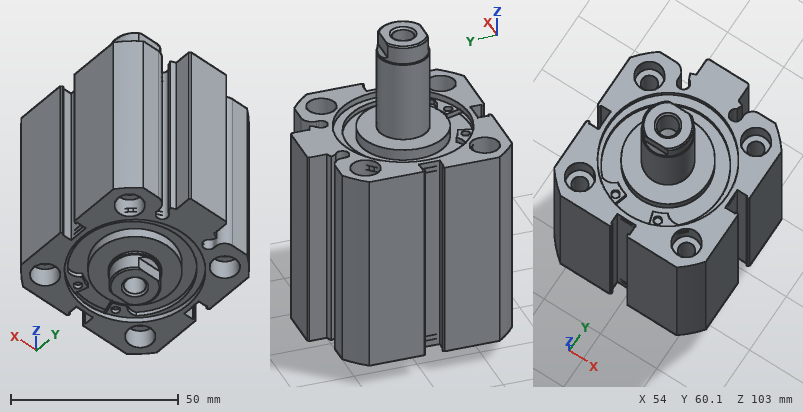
import cadquery as cq
import math

half_width = 27.0
corner_radius = 34.0
rod_length = 103.0
rod_overhang_top = 32.0
rod_overhang_bottom = 7.0
housing_height = rod_length - rod_overhang_top - rod_overhang_bottom

block_half_width = 7.5
block_top = 33.1
block_edge_chamfer = 0.5
groove_x = 9.3
groove_y = 22.7
groove_width = 4.0
groove_radius = groove_width / 2
groove_lip_radius = 3.5
hook_tip = (9.3, 26.3)
hook_root_x = 8.5

slot_width = 6.6
slot_depth = 4.4
slot_opening = 5.6
lip_thickness = 1.0
lip_chamfer = 0.4

mount_pitch = 37.9
mount_hole_diameter = 5.2
counterbore_diameter = 9.1
counterbore_depth = 7.2

bore_radius = 21.0
ring_seat_radius = 22.4
ring_depth = 2.0
ring_thickness = 1.5

ring_inner_radius = 19.3
ring_inner_offset = 1.2
lug_radius = 16.3
gap_half_angle = 17.0
lug_end_angle = 33.1
lug_neck_middle = (11.3, -15.0)
lug_neck_end_angle = 45.0
lug_hole_diameter = 2.6
lug_hole_x = 7.5
lug_hole_y = -17.1

collar_radius = 14.0
cover_recess = ring_depth + ring_thickness
cover_length = 10.3

rod_diameter = 16.0
rod_radius = rod_diameter / 2
rod_end_radius = 7.7
rod_end_length = 5.9
rod_chamfer_width = 0.5
rod_chamfer_length = 0.4
flat_distance = 6.5
flat_length = 4.5
thread_diameter = 6.7
thread_radius = thread_diameter / 2
thread_mouth_radius = 4.0
thread_depth = 13.0
drill_point_angle = 118.0


def below_axis(radius, angle):
    """Point at an angle in degrees from -Y towards +X."""
    turn = math.radians(angle)
    return radius * math.sin(turn), -radius * math.cos(turn)


def mirrored_x(point):
    return -point[0], point[1]


def mirrored_z(shape):
    """The same shape at the other end of the housing."""
    return shape.mirror("XY", (0, 0, housing_height / 2))


def make_block_groove():
    """Cutter for the hooked groove on the +X side of the port block."""
    hook_root_y = groove_y + math.sqrt(groove_radius**2 - (groove_x - hook_root_x) ** 2)
    wall_x = groove_x + groove_radius
    lip_y = half_width - groove_lip_radius
    lip_end_x = wall_x + groove_lip_radius
    diagonal = math.sqrt(0.5)
    lip_middle = (lip_end_x - groove_lip_radius * diagonal, lip_y + groove_lip_radius * diagonal)
    return (
        cq.Workplane("XY")
        .moveTo(block_half_width, half_width)
        .lineTo(*hook_tip)
        .lineTo(hook_root_x, hook_root_y)
        .threePointArc((groove_x, groove_y - groove_radius), (wall_x, groove_y))
        .lineTo(wall_x, lip_y)
        .threePointArc(lip_middle, (lip_end_x, half_width))
        .close()
        .extrude(housing_height)
    )


def make_slot():
    """Cutter for the slot in the -Y face, narrowed by chamfered lips at its mouth."""
    opening = slot_opening / 2
    floor_y = slot_depth - half_width
    lip_y = lip_thickness - half_width
    right_side = [
        (opening + lip_chamfer, -half_width),
        (opening, lip_chamfer - half_width),
        (opening, lip_y),
        (slot_width / 2, lip_y),
        (slot_width / 2, floor_y),
    ]
    left_side = [mirrored_x(point) for point in reversed(right_side)]
    return cq.Workplane("XY").polyline(right_side + left_side).close().extrude(housing_height)


def housing_blank():
    """Square with rounded corners and the port block, before anything is cut."""
    square = cq.Workplane("XY").rect(2 * half_width, 2 * half_width).extrude(housing_height)
    corner_round = cq.Workplane("XY").circle(corner_radius).extrude(housing_height)
    block = (
        cq.Workplane("XY")
        .center(0, block_top / 2)
        .rect(2 * block_half_width, block_top)
        .extrude(housing_height)
        .edges("|Z and >Y")
        .chamfer(block_edge_chamfer)
    )
    return square.intersect(corner_round).union(block)


def mount_hole_cutter(x, y):
    """Through hole counterbored at both ends."""
    hole = cq.Workplane("XY").center(x, y).circle(mount_hole_diameter / 2).extrude(housing_height)
    counterbore = cq.Workplane("XY").center(x, y).circle(counterbore_diameter / 2).extrude(counterbore_depth)
    return hole.union(counterbore).union(mirrored_z(counterbore))


def make_housing():
    """Cylinder housing with its slots, mounting holes, bore and ring seats."""
    body = housing_blank()
    block_groove = make_block_groove()
    body = body.cut(block_groove).cut(block_groove.mirror("YZ"))
    for angle in (-90, 0, 90):
        body = body.cut(make_slot().rotate((0, 0, 0), (0, 0, 1), angle))
    for side_x in (-1, 1):
        for side_y in (-1, 1):
            body = body.cut(mount_hole_cutter(side_x * mount_pitch / 2, side_y * mount_pitch / 2))
    bore = cq.Workplane("XY").circle(bore_radius).extrude(housing_height)
    ring_seat = (
        cq.Workplane("XY").workplane(offset=ring_depth).circle(ring_seat_radius).extrude(ring_thickness)
    )
    return body.cut(bore).cut(ring_seat).cut(mirrored_z(ring_seat))


def make_bottom_ring():
    """Open ring with a drilled lug on each side of its gap."""
    gap_outer = below_axis(ring_seat_radius, gap_half_angle)
    gap_inner = below_axis(lug_radius, gap_half_angle)
    lug_middle = below_axis(lug_radius, (gap_half_angle + lug_end_angle) / 2)
    lug_end = below_axis(lug_radius, lug_end_angle)
    neck_x, neck_y = below_axis(ring_inner_radius, lug_neck_end_angle)
    neck_end = (neck_x, neck_y - ring_inner_offset)
    return (
        cq.Workplane("XY")
        .workplane(offset=ring_depth)
        .moveTo(*gap_outer)
        .threePointArc((0, ring_seat_radius), mirrored_x(gap_outer))
        .lineTo(*mirrored_x(gap_inner))
        .threePointArc(mirrored_x(lug_middle), mirrored_x(lug_end))
        .threePointArc(mirrored_x(lug_neck_middle), mirrored_x(neck_end))
        .threePointArc((0, ring_inner_radius - ring_inner_offset), neck_end)
        .threePointArc(lug_neck_middle, lug_end)
        .threePointArc(lug_middle, gap_inner)
        .close()
        .pushPoints([(-lug_hole_x, lug_hole_y), (lug_hole_x, lug_hole_y)])
        .circle(lug_hole_diameter / 2)
        .extrude(ring_thickness)
    )


def make_bottom_cover():
    """Flange behind the ring with a collar flush with the housing end, bored for the rod."""
    collar = cq.Workplane("XY").circle(collar_radius).extrude(cover_recess)
    flange = cq.Workplane("XY").workplane(offset=cover_recess).circle(bore_radius).extrude(cover_length)
    rod_bore = cq.Workplane("XY").circle(rod_radius).extrude(cover_recess + cover_length)
    return collar.union(flange).cut(rod_bore)


def rod_end_cutters():
    """Wrench flats and threaded hole of a rod end at Z = 0 whose rod rises towards +Z."""
    clear = 2 * rod_radius
    flat_section = [
        (flat_distance, 0),
        (flat_distance, flat_length),
        (clear, flat_length + clear - flat_distance),
        (clear, 0),
    ]
    flat = cq.Workplane("YZ").polyline(flat_section).close().extrude(rod_radius, both=True)
    point_depth = thread_radius / math.tan(math.radians(drill_point_angle / 2))
    hole_section = [
        (0, 0),
        (thread_mouth_radius, 0),
        (thread_radius, thread_mouth_radius - thread_radius),
        (thread_radius, thread_depth),
        (0, thread_depth + point_depth),
    ]
    hole = cq.Workplane("XZ").polyline(hole_section).close().revolve(360, (0, 0), (0, 1))
    return [flat, flat.mirror("XZ"), hole]


def make_rod():
    """Rod through both covers, with stepped and chamfered ends."""
    shoulder_chamfer = rod_radius - rod_end_radius
    lower_side = [
        (rod_end_radius - rod_chamfer_width, 0),
        (rod_end_radius, rod_chamfer_length),
        (rod_end_radius, rod_end_length),
        (rod_radius, rod_end_length + shoulder_chamfer),
    ]
    upper_side = [(radius, rod_length - height) for radius, height in reversed(lower_side)]
    section = [(0, 0)] + lower_side + upper_side + [(0, rod_length)]
    rod = cq.Workplane("XZ").polyline(section).close().revolve(360, (0, 0), (0, 1))
    for cutter in rod_end_cutters():
        rod = rod.cut(cutter).cut(cutter.mirror("XY", (0, 0, rod_length / 2)))
    return rod.translate((0, 0, -rod_overhang_bottom))


housing = make_housing()
rod = make_rod()
covers = []
rings = []
for at_top in (False, True):
    cover = make_bottom_cover()
    ring = make_bottom_ring()
    covers.append(mirrored_z(cover) if at_top else cover)
    rings.append(mirrored_z(ring) if at_top else ring)

result = cq.Compound.makeCompound([body.val() for body in [housing, rod] + covers + rings])